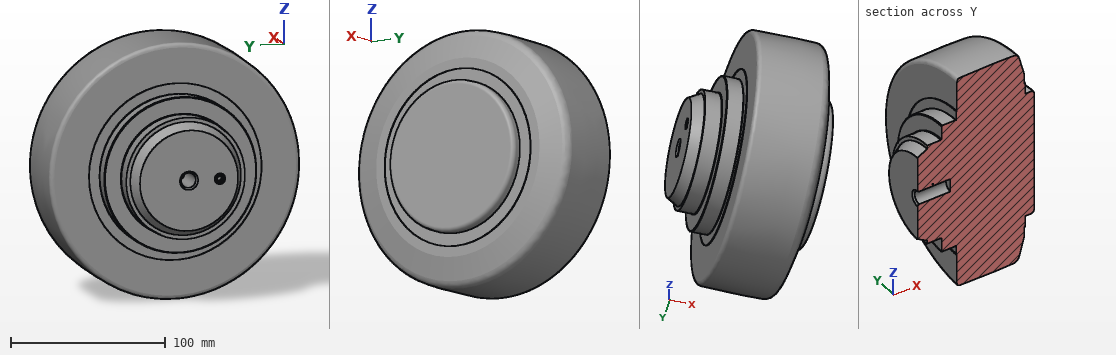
import cadquery as cq
import math


taper_end = 7.5
hub_end = 18.2
flange_start = 18.7
cover_front = 30.0
tyre_front = 30.6
rear_cone_start = 78.4
rear_cone_end = 83.5
rear_cover_back = 84.0
overall_length = 91.0

nose_radius = 33.1
taper_radius = 37.4
hub_radius = 40.1
spacer_radius = 40.5
flange_radius = 51.5
cover_radius = 58.3
rear_hub_radius = 50.0
tyre_radius = 85.0
tyre_edge_radius = 84.5
rear_cone_inner_radius = 65.3

flange_chamfer = 0.5
tyre_front_fillet = 2.9
tyre_rear_fillet = 5.6
rear_hub_fillet = 2.9

center_hole_radius = 5.0
center_sink_radius = 6.1
center_hole_depth = 25.5

screw_offset = 20.9
screw_sink_radius = 3.5
screw_root_radius = 2.9
screw_tip_radius = 2.2
screw_hex_width = 3.4
screw_hex_depth = 3.0


def turned(outline):
    """Revolve a closed outline, drawn as (x, radius), about the X axis."""
    return outline.close().revolve(360, (0, 0, 0), (1, 0, 0))


def stepped_hub():
    """Tapered nose, hub, spacer, flange, covers and rear hub on one axle."""
    corners = [
        (0, 0),
        (0, nose_radius),
        (taper_end, taper_radius),
        (taper_end, hub_radius),
        (hub_end, hub_radius),
        (hub_end, spacer_radius),
        (flange_start, spacer_radius),
        (flange_start, flange_radius - flange_chamfer),
        (flange_start + flange_chamfer, flange_radius),
        (cover_front - flange_chamfer, flange_radius),
        (cover_front, flange_radius - flange_chamfer),
        (cover_front, cover_radius),
        (rear_cover_back, cover_radius),
        (rear_cover_back, rear_hub_radius),
        (overall_length, rear_hub_radius),
        (overall_length, 0),
    ]
    body = turned(cq.Workplane("XY").polyline(corners))
    return body.faces(">X").edges().fillet(rear_hub_fillet)


def tyre():
    """Crowned running surface with rounded shoulders and a conical rear face."""
    tyre_middle = (tyre_front + rear_cone_start) / 2
    body = turned(
        cq.Workplane("XY")
        .moveTo(tyre_front, 0)
        .lineTo(tyre_front, tyre_edge_radius)
        .threePointArc((tyre_middle, tyre_radius), (rear_cone_start, tyre_edge_radius))
        .lineTo(rear_cone_end, rear_cone_inner_radius)
        .lineTo(rear_cone_end, 0)
    )
    body = body.edges("%CIRCLE").edges(">>X[-2]").fillet(tyre_rear_fillet)
    return body.faces("<X").edges().fillet(tyre_front_fillet)


def center_hole():
    """Countersunk blind hole on the axis."""
    sink_depth = center_sink_radius - center_hole_radius
    return turned(
        cq.Workplane("XY").polyline([
            (0, 0),
            (0, center_sink_radius),
            (sink_depth, center_hole_radius),
            (center_hole_depth, center_hole_radius),
            (center_hole_depth, 0),
        ])
    )


def screw_recess():
    """Countersink round a chamfered grub screw, with its hexagon socket."""
    sink_depth = screw_sink_radius - screw_root_radius
    groove = turned(
        cq.Workplane("XY").polyline([
            (0, screw_tip_radius),
            (0, screw_sink_radius),
            (sink_depth, screw_root_radius),
        ])
    )
    half_facet = math.radians(30)
    hex_diameter = screw_hex_width / math.cos(half_facet)
    socket = cq.Workplane("YZ").polygon(6, hex_diameter).extrude(screw_hex_depth)
    socket = socket.rotate((0, 0, 0), (1, 0, 0), math.degrees(half_facet))
    return groove.union(socket).translate((0, -screw_offset, 0))


result = stepped_hub().union(tyre()).cut(center_hole()).cut(screw_recess())